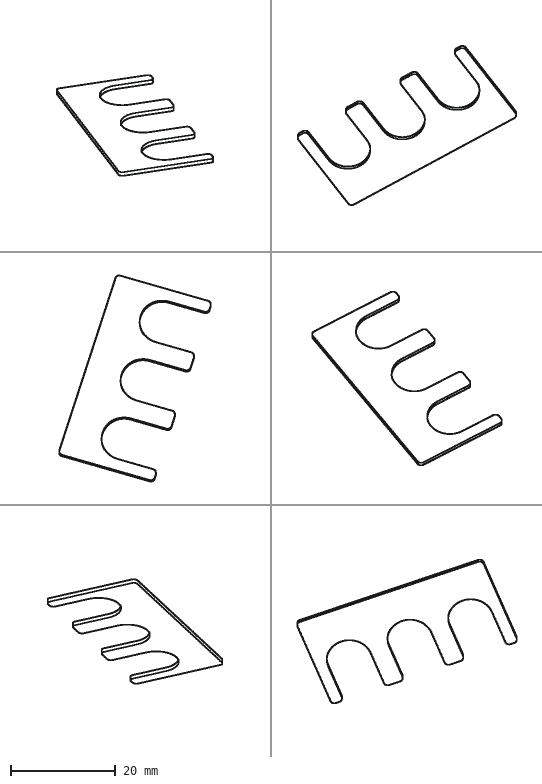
import cadquery as cq

length = 38.1
width = 19.05
thickness = 0.8
corner_radius = 0.8

slot_count = 3
slot_width = 8.6
slot_pitch = 12.42
slot_depth = 12.2


def open_slot(x_center):
    """Cutter for one slot: straight sides ending in a half-round bottom."""
    radius = slot_width / 2
    left = x_center - radius
    right = x_center + radius
    open_y = width / 2
    bottom_y = open_y - slot_depth
    arc_y = bottom_y + radius
    return (
        cq.Workplane("XY")
        .moveTo(left, open_y)
        .lineTo(left, arc_y)
        .threePointArc((x_center, bottom_y), (right, arc_y))
        .lineTo(right, open_y)
        .close()
        .extrude(thickness)
    )


plate = cq.Workplane("XY").box(length, width, thickness, centered=(True, True, False))

for index in range(slot_count):
    plate = plate.cut(open_slot((index - (slot_count - 1) / 2) * slot_pitch))

tip_corners = plate.faces(">Y").edges("|Z")
back_corners = plate.faces("<Y").edges("|Z")
result = plate.newObject(tip_corners.vals() + back_corners.vals()).fillet(corner_radius)